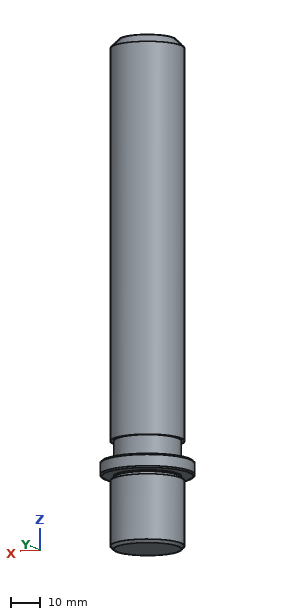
import cadquery as cq

total_height = 175.0
flange_bottom = 25.0
flange_thickness = 4.9
neck_length = 7.2
undercut_length = 0.5

pin_diameter = 25.0
neck_diameter = 23.0
flange_diameter = 32.0

tip_chamfer = 3.0
base_chamfer = 1.0
flange_chamfer = 0.5


def cylinder(diameter, bottom, top):
    """Solid cylinder on the Z axis between two heights."""
    return cq.Workplane("XY").workplane(offset=bottom).circle(diameter / 2).extrude(top - bottom)


shank_top = flange_bottom - undercut_length
flange_top = flange_bottom + flange_thickness
neck_top = flange_top + neck_length

shank = cylinder(pin_diameter, 0, shank_top).faces("<Z or >Z").chamfer(base_chamfer)

undercut = cylinder(neck_diameter, shank_top, flange_bottom)

flange = cylinder(flange_diameter, flange_bottom, flange_top).edges().chamfer(flange_chamfer)

neck = cylinder(neck_diameter, flange_top, neck_top)

guide = cylinder(pin_diameter, neck_top, total_height).faces(">Z").chamfer(tip_chamfer)

result = shank.union(undercut).union(flange).union(neck).union(guide)